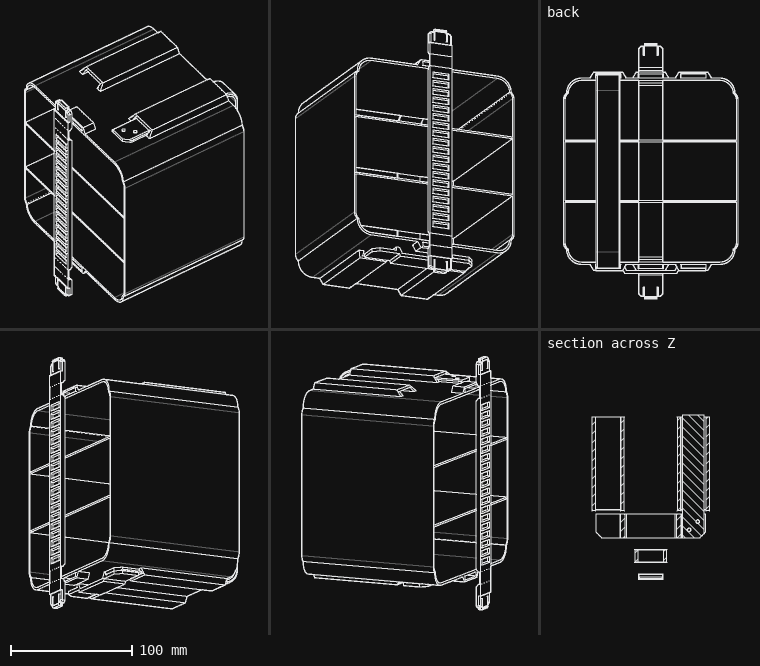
import cadquery as cq


housing_width = 144.1
housing_height = 154.0
housing_depth = 120.0
roof_thickness = 2.1
side_thickness = 1.5
corner_radius = 12.6
flare_width = 2.5
flare_height = 5.3
shelf_count = 2

channel_spacing = 70.4
channel_foot_width = 30.0
channel_top_width = 24.0
channel_height = 4.8
channel_plate = 1.5
channel_slot_width = 20.6
channel_front = 40.0
lug_length = 10.5

band_width = 20.0
band_thickness = 2.7
strap_overhang = 13.0
strap_edge_chamfer = 1.0
tab_front = 20.0
tab_corner = 5.0
tab_hole_diameter = 2.7
tab_hole_offset_x = 3.5
tab_hole_offset_y = 3.4
tab_hole_middle = 10.3
bridge_web_top = 2.7
bridge_web_flare = 2.5
bridge_step_slant = 0.8

strip_length = 210.7
strip_thickness = 4.2
strip_gap = 9.7
pocket_count = 19
pocket_span = 129.8
pocket_width = 14.5
pocket_mouth = 4.8
pocket_floor = 3.4
pocket_depth = 2.1
hinge_outer = 83.2
hinge_inner = 73.0
hinge_thickness = 0.8
hinge_straight = 1.3
hinge_slant = 2.3
head_start = 93.0
head_recess = 0.74
head_edge_chamfer = 1.0
head_corner = 2.0
shoulder_height = 103.2
tongue_width = 10.3
tongue_thickness = 2.1
tongue_slit = 0.8
tongue_slit_start = 95.7
lip_height = 1.0
barb_peak = 103.9
tip_setback = 1.0

half_width = housing_width / 2
half_height = housing_height / 2
inner_height = housing_height - 2 * roof_thickness
inner_width = housing_width - 2 * side_thickness
channel_x = channel_spacing / 2
strap_outer_z = half_height + band_thickness
channel_outer_z = half_height + channel_height
strip_back = -strip_gap
strip_front = strip_back - strip_thickness
head_front = strip_front + head_recess
half_length = strip_length / 2


def block(x0, x1, y0, y1, z0, z1):
    return cq.Workplane("XY").box(x1 - x0, y1 - y0, z1 - z0, centered=False).translate((x0, y0, z0))


def along_y(outline, y0, y1):
    """Extrude an XZ outline from y0 to y1."""
    return outline.extrude(y0 - y1).translate((0, y0, 0))


def along_x(points, width):
    """Extrude a closed YZ polygon, centred on X = 0."""
    return cq.Workplane("YZ").polyline(points).close().extrude(width / 2, both=True)


def tube_outline(inset_x, inset_z):
    """Rounded outline whose corners have a main arc and a small flare to the side wall."""
    side = half_width - inset_x
    top = half_height - inset_z
    flat_x = half_width - flare_width - corner_radius
    corner_x = side - flare_width
    corner_z = half_height - corner_radius
    side_z = corner_z - flare_height
    main_radius = max(corner_x - flat_x, top - corner_z)
    flare_radius = (flare_width**2 + flare_height**2) / (2 * flare_width)
    return (
        cq.Workplane("XZ")
        .moveTo(-flat_x, top)
        .lineTo(flat_x, top)
        .radiusArc((corner_x, corner_z), main_radius)
        .radiusArc((side, side_z), flare_radius)
        .lineTo(side, -side_z)
        .radiusArc((corner_x, -corner_z), flare_radius)
        .radiusArc((flat_x, -top), main_radius)
        .lineTo(-flat_x, -top)
        .radiusArc((-corner_x, -corner_z), main_radius)
        .radiusArc((-side, -side_z), flare_radius)
        .lineTo(-side, side_z)
        .radiusArc((-corner_x, corner_z), flare_radius)
        .radiusArc((-flat_x, top), main_radius)
        .close()
    )


def channel(x, y0, y1, slanted_front):
    """Trapezoid rail on the housing top, with a slot for the strap under its plate."""
    foot = channel_foot_width / 2
    top = channel_top_width / 2
    right_side = [(top, channel_outer_z), (foot, half_height)]
    left_side = [(-x_edge, z) for x_edge, z in reversed(right_side)]
    outline = cq.Workplane("XZ").polyline(right_side + left_side).close()
    rail = along_y(outline, y0, y1)
    slot = channel_slot_width / 2
    rail = rail.cut(block(-slot, slot, y0, y1, half_height, channel_outer_z - channel_plate))
    if slanted_front:
        corner = [(y0, half_height), (y0, channel_outer_z), (y0 + channel_height, channel_outer_z)]
        rail = rail.cut(along_x(corner, channel_foot_width))
    return rail.translate((x, 0, 0))


def make_housing():
    tube = along_y(tube_outline(0, 0), 0, housing_depth)
    tube = tube.cut(along_y(tube_outline(side_thickness, roof_thickness), 0, housing_depth))
    half_shelf = side_thickness / 2
    shelf_pitch = inner_height / (shelf_count + 1)
    for i in range(shelf_count):
        z = shelf_pitch * (i - (shelf_count - 1) / 2)
        half = inner_width / 2
        tube = tube.union(block(-half, half, 0, housing_depth, z - half_shelf, z + half_shelf))
    rails = [
        channel(-channel_x, channel_front, housing_depth, True),
        channel(channel_x, channel_front, housing_depth, True),
        channel(0, 0, lug_length, False),
    ]
    for rail in rails:
        tube = tube.union(rail).union(rail.mirror("XY"))
    return tube


def corner_bevel(x, inward):
    """Prism that bevels the front corner of a tab at x; inward is the X direction into the tab."""
    points = [(x, tab_front), (x, tab_front + tab_corner), (x + inward * tab_corner, tab_front)]
    tall = 2 * channel_outer_z
    return cq.Workplane("XY").polyline(points).close().extrude(tall, both=True)


def make_strap():
    """C-shaped band around the back of the housing, with its ends in the right-hand channels."""
    half = band_width / 2
    back = housing_depth + strap_overhang
    band = block(-half, half, 0, back, -strap_outer_z, strap_outer_z)
    band = band.edges("|X and >Y").fillet(strap_overhang)
    band = band.faces("<X or >X").edges().chamfer(strap_edge_chamfer)
    inside = block(-half, half, 0, back - band_thickness, -half_height, half_height)
    inside = inside.edges("|X and >Y").fillet(strap_overhang - band_thickness)
    front_waste = block(-half, half, 0, tab_front, -strap_outer_z, strap_outer_z)
    band = band.cut(inside).cut(front_waste).cut(corner_bevel(half, -1))
    hole_y = tab_front + tab_hole_middle
    holes = (
        cq.Workplane("XY")
        .pushPoints([
            (tab_hole_offset_x, hole_y + tab_hole_offset_y),
            (-tab_hole_offset_x, hole_y - tab_hole_offset_y),
        ])
        .circle(tab_hole_diameter / 2)
        .extrude(strap_outer_z, both=True)
    )
    return band.cut(holes).translate((channel_x, 0, 0))


def make_bridge():
    """Stepped bar under the housing that joins the places of the two lower strap tabs."""
    end_x = channel_x + band_width / 2
    web_x = channel_x - band_width / 2
    web_top_x = web_x - bridge_web_top
    web_foot_x = web_top_x - bridge_web_flare
    plate_top = -strap_outer_z
    plate_bottom = plate_top - band_thickness
    bar_top = -channel_outer_z
    bar_bottom = bar_top - band_thickness
    right_side = [
        (web_foot_x, bar_top),
        (web_top_x, -half_height),
        (web_x, -half_height),
        (web_x, plate_top),
        (end_x, plate_top),
        (end_x, plate_bottom),
        (web_top_x, plate_bottom),
        (web_top_x - bridge_step_slant, bar_bottom),
    ]
    left_side = [(-x, z) for x, z in reversed(right_side)]
    outline = cq.Workplane("XZ").polyline(right_side + left_side).close()
    bridge = along_y(outline, tab_front, tab_front + band_width)
    return bridge.cut(corner_bevel(end_x, -1)).cut(corner_bevel(-end_x, 1))


def strip_pocket(z):
    """Blind pocket in the front face; its top and bottom walls slope in towards the floor."""
    mouth = pocket_mouth / 2
    floor = pocket_floor / 2
    floor_y = strip_front + pocket_depth
    points = [(strip_front, -mouth), (strip_front, mouth), (floor_y, floor), (floor_y, -floor)]
    return along_x(points, pocket_width).translate((0, 0, z))


def hinge_relief():
    """Recess in the back of the strip that leaves the thin upper hinge."""
    web_y = strip_front + hinge_thickness
    bend_y = web_y + hinge_straight
    points = [
        (strip_back, hinge_inner - hinge_slant),
        (bend_y, hinge_inner),
        (web_y, hinge_inner),
        (web_y, hinge_outer),
        (bend_y, hinge_outer),
        (strip_back, hinge_outer + hinge_slant),
    ]
    return along_x(points, band_width)


def strip_head():
    """Upper end of the strip: a recessed block with bevelled edges, split by two slits."""
    half = band_width / 2
    head = block(-half, half, head_front, strip_back, hinge_outer, shoulder_height)
    head = head.edges("|Y and >Z").chamfer(head_corner)
    head = head.faces("<Y").edges("not <Z").chamfer(head_edge_chamfer)
    head = head.intersect(block(-half, half, head_front, strip_back, head_start, shoulder_height))
    inner = tongue_width / 2
    outer = inner + tongue_slit
    for x0, x1 in ((-outer, -inner), (inner, outer)):
        head = head.cut(block(x0, x1, head_front, strip_back, tongue_slit_start, shoulder_height))
    return head


def strip_tongue():
    """Snap tongue at the top of the head, with a barb in front and a lip behind."""
    back_y = head_front + tongue_thickness
    points = [
        (head_front, tongue_slit_start),
        (head_front, shoulder_height),
        (strip_front, barb_peak),
        (strip_front + tip_setback, half_length),
        (strip_back, half_length),
        (strip_back, half_length - lip_height),
        (back_y, half_length - lip_height),
        (back_y, tongue_slit_start),
    ]
    return along_x(points, tongue_width)


def make_strip():
    half = band_width / 2
    strip = block(-half, half, strip_front, strip_back, -head_start, head_start)
    pocket_pitch = pocket_span / (pocket_count - 1)
    for i in range(pocket_count):
        strip = strip.cut(strip_pocket(i * pocket_pitch - pocket_span / 2))
    relief = hinge_relief()
    end = strip_head().union(strip_tongue())
    strip = strip.cut(relief).cut(relief.mirror("XY"))
    return strip.union(end).union(end.mirror("XY"))


housing = make_housing().solids()
strap = make_strap().solids()
bridge = make_bridge().solids()
strip = make_strip().solids()
result = cq.Compound.makeCompound([housing.val(), strap.val(), bridge.val(), strip.val()])